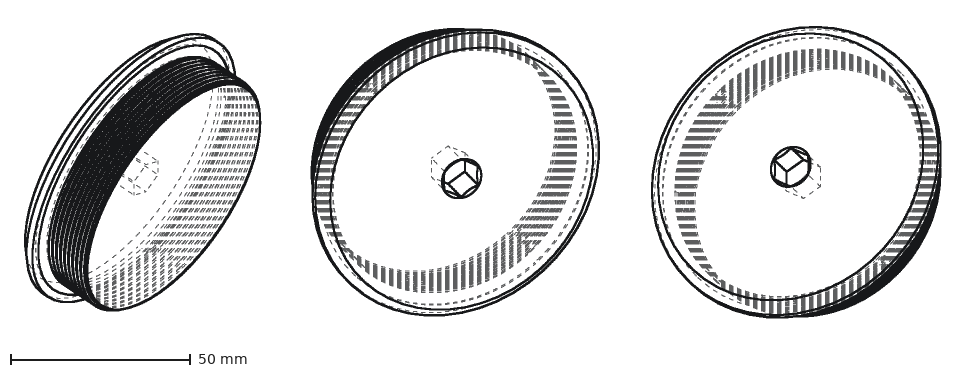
import cadquery as cq
import math

total_length = 20.32

flange_diameter = 85.18
flange_thickness = 5.5
bevel_length = 3.35
bevel_depth = 3.15

neck_diameter = 73.15
neck_radius = neck_diameter / 2
neck_chamfer = 0.3
neck_chamfer_angle = 90

cord_diameter = 3.53
ring_protrusion = 1.57
ring_center_x = flange_thickness + ring_protrusion - cord_diameter / 2
ring_center_radius = neck_radius + cord_diameter / 2

socket_flats = 10.0
socket_corners = socket_flats / math.cos(math.radians(30))
socket_depth = 10.0
floor_cone_angle = 170
mouth_diameter = 11.8
mouth_angle = 90

thread_pitch = 1.5
thread_angle = 60
crest_width = 0.1
thread_height = thread_pitch / 2
root_width = crest_width + 2 * thread_height * math.tan(math.radians(thread_angle / 2))
thread_start_x = 6.15
thread_turns = 9.4


def cone_along_x(base_diameter, included_angle, base_x):
    """Cone on the X axis with its base at base_x and its tip pointing toward +X."""
    base_radius = base_diameter / 2
    tip_x = base_x + base_radius / math.tan(math.radians(included_angle / 2))
    outline = cq.Workplane("XY").polyline([(base_x, 0), (base_x, base_radius), (tip_x, 0)]).close()
    return outline.revolve(360, (0, 0, 0), (1, 0, 0))


def make_ring():
    """Round cord closed into a ring about the X axis."""
    cord = cq.Workplane("XY").center(ring_center_x, ring_center_radius).circle(cord_diameter / 2)
    return cord.revolve(360, (0, -ring_center_radius, 0), (1, -ring_center_radius, 0))


def make_socket():
    """Hexagonal cutter with corners toward +Z and -Z, a floor cone and a mouth cone."""
    hexagon = (
        cq.Workplane("YZ")
        .polygon(6, socket_corners)
        .extrude(socket_depth)
        .rotate((0, 0, 0), (1, 0, 0), 90)
    )
    floor_cone = cone_along_x(socket_flats, floor_cone_angle, socket_depth)
    mouth = cone_along_x(mouth_diameter, mouth_angle, 0)
    return hexagon.union(floor_cone).union(mouth)


def make_plug():
    """Flange and neck in one piece, with the ring groove and the key socket."""
    flange_radius = flange_diameter / 2
    outline = [
        (0, 0),
        (0, flange_radius - bevel_depth),
        (bevel_length, flange_radius),
        (flange_thickness, flange_radius),
        (flange_thickness, neck_radius),
        (total_length - neck_chamfer, neck_radius),
        (total_length, neck_radius - neck_chamfer),
        (total_length, 0),
    ]
    body = cq.Workplane("XY").polyline(outline).close().revolve(360, (0, 0, 0), (1, 0, 0))
    return body.cut(make_ring()).cut(make_socket())


def make_thread_limit():
    """Space the thread may fill: up to the neck's chamfer cone, carried outward past the crests."""
    cone_tip_x = total_length - neck_chamfer + neck_radius
    return cone_along_x(2 * cone_tip_x, neck_chamfer_angle, 0)


def make_thread():
    """Helical ridge wound on the neck, clear of the ring and cut back by the chamfer cone."""
    helix = cq.Wire.makeHelix(thread_pitch, thread_pitch * thread_turns, neck_radius)
    crest_radius = neck_radius + thread_height
    ridge = (
        cq.Workplane("XZ")
        .polyline([
            (neck_radius, -root_width / 2),
            (crest_radius, -crest_width / 2),
            (crest_radius, crest_width / 2),
            (neck_radius, root_width / 2),
        ])
        .close()
        .sweep(cq.Workplane(helix), isFrenet=True)
    )
    laid_ridge = ridge.rotate((0, 0, 0), (1, 1, 1), 120)
    placed_ridge = laid_ridge.translate((thread_start_x, 0, 0))
    return placed_ridge.cut(make_ring()).intersect(make_thread_limit())


plug = make_plug()
ring = make_ring()
thread = make_thread()

result = cq.Compound.makeCompound([*plug.solids().vals(), *ring.solids().vals(), *thread.solids().vals()])